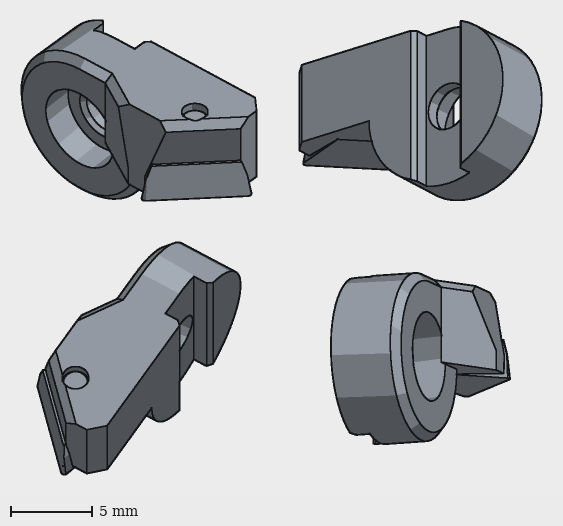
import cadquery as cq
import math

ring_diameter = 10.4
ring_radius = ring_diameter / 2
ring_length = 4.45
chamfer_size = 0.52
counterbore_radius = 2.75
counterbore_depth = 2.1
hole_radius = 1.51
countersink_radius = 1.8
countersink_depth = countersink_radius - hole_radius

slot_width = 3.34
slot_depth = 1.2
slot_bevel = 0.3

arm_end_x = 11.33
arm_corner_bevel = 0.91
arm_start_x = 2.06
arm_front_y = -6.62
arm_flank_angle = 30.0
seat_line = 13.76
nose_slope_angle = 15.0
nose_slope_bottom_z = 1.22

pin_x = 8.51
pin_y = -3.47
pin_radius = 0.8
pin_recess = 0.5
pin_bevel = 0.07

insert_bottom_z = -0.33
insert_bend_z = 1.22
insert_top_z = 2.2
insert_bottom_half_width = 3.4
insert_bend_half_width = 3.13
insert_top_half_width = 2.79
insert_bottom_front = 1.67
insert_top_front = 1.43
insert_back = 1.77
insert_end_relief = 27.5
insert_bottom_corner = 0.25
insert_upper_corner = 0.05
seat_angle = 45.0


def make_ring():
    profile = [
        (0, 0),
        (ring_radius, 0),
        (ring_radius, -ring_length + chamfer_size),
        (ring_radius - chamfer_size, -ring_length),
        (0, -ring_length),
    ]
    return cq.Workplane("XY").polyline(profile).close().revolve(360, (0, 0), (0, 1))


def arm_outline(inset, front_y):
    """Plan of the arm with its front, flank and seat edges moved inwards by inset, cut off at front_y."""
    flank = math.radians(arm_flank_angle)
    flank_end_x = arm_start_x + (-ring_length - front_y) / math.tan(flank)
    seat_shift = inset / math.sin(math.radians(seat_angle))
    return [
        (0, 0),
        (arm_end_x - arm_corner_bevel, 0),
        (arm_end_x, -arm_corner_bevel),
        (arm_end_x, arm_end_x - seat_line + seat_shift),
        (seat_line + front_y - seat_shift, front_y),
        (flank_end_x + inset / math.sin(flank), front_y),
        (arm_start_x + inset * math.tan(flank / 2), -ring_length + inset),
        (0, -ring_length + inset),
    ]


def nose_setback(z):
    """Distance of the sloping nose face behind the arm's front at height z."""
    return (z - nose_slope_bottom_z) * math.tan(math.radians(nose_slope_angle))


def make_arm():
    bevel_z = ring_radius - chamfer_size
    bevel_front_y = arm_front_y + nose_setback(bevel_z)
    block = cq.Workplane("XY").polyline(arm_outline(0, arm_front_y)).close().extrude(bevel_z)
    bevelled_top = (
        cq.Workplane("XY", origin=(0, 0, bevel_z))
        .polyline(arm_outline(0, bevel_front_y))
        .close()
        .workplane(offset=chamfer_size)
        .polyline(arm_outline(chamfer_size, bevel_front_y))
        .close()
        .loft(ruled=True)
    )
    return block.union(bevelled_top).cut(make_nose_cut())


def make_nose_cut():
    profile = [
        (arm_front_y, nose_slope_bottom_z),
        (arm_front_y + nose_setback(ring_radius), ring_radius),
        (arm_front_y, ring_radius),
    ]
    return cq.Workplane("YZ").polyline(profile).close().extrude(arm_end_x)


def make_bore():
    profile = [
        (0, -ring_length),
        (counterbore_radius, -ring_length),
        (counterbore_radius, -ring_length + counterbore_depth),
        (countersink_radius, -ring_length + counterbore_depth),
        (hole_radius, -ring_length + counterbore_depth + countersink_depth),
        (hole_radius, 0),
        (0, 0),
    ]
    return cq.Workplane("XY").polyline(profile).close().revolve(360, (0, 0), (0, 1))


def make_key_slot():
    half_width = slot_width / 2
    profile = [
        (-half_width - slot_bevel, 0),
        (-half_width, -slot_bevel),
        (-half_width, -slot_depth),
        (half_width, -slot_depth),
        (half_width, -slot_bevel),
        (half_width + slot_bevel, 0),
    ]
    return cq.Workplane("XY").polyline(profile).close().extrude(ring_radius, both=True)


def insert_front(z):
    share = (z - insert_bottom_z) / (insert_top_z - insert_bottom_z)
    return insert_bottom_front + share * (insert_top_front - insert_bottom_front)


def add_insert_outline(workplane, half_width, corner_radius, z):
    """Trapezoid with a rounded corner at each end of the cutting edge."""
    front = insert_front(z)
    side_length = front - corner_radius + insert_back
    back_half_width = half_width - side_length * math.tan(math.radians(insert_end_relief))
    corner_x = half_width - corner_radius
    corner_y = -front + corner_radius
    arc_offset = corner_radius * math.sqrt(0.5)
    return (
        workplane.moveTo(-corner_x, -front)
        .lineTo(corner_x, -front)
        .threePointArc((corner_x + arc_offset, corner_y - arc_offset), (half_width, corner_y))
        .lineTo(back_half_width, insert_back)
        .lineTo(-back_half_width, insert_back)
        .lineTo(-half_width, corner_y)
        .threePointArc((-corner_x - arc_offset, corner_y - arc_offset), (-corner_x, -front))
        .close()
    )


def make_insert_layer(low_section, high_section):
    """Each section is (half width, corner radius, height)."""
    low_z = low_section[-1]
    high_z = high_section[-1]
    layer = add_insert_outline(cq.Workplane("XY", origin=(0, 0, low_z)), *low_section)
    layer = add_insert_outline(layer.workplane(offset=high_z - low_z), *high_section)
    return layer.loft(ruled=True)


def make_insert():
    bottom = (insert_bottom_half_width, insert_bottom_corner, insert_bottom_z)
    bend = (insert_bend_half_width, insert_upper_corner, insert_bend_z)
    top = (insert_top_half_width, insert_upper_corner, insert_top_z)
    lower = make_insert_layer(bottom, bend)
    upper = make_insert_layer(bend, top)
    clearance = (
        cq.Workplane("YZ")
        .polyline([(-insert_bottom_front, insert_bottom_z), (insert_back, insert_bottom_z), (insert_back, 0)])
        .close()
        .extrude(insert_bottom_half_width, both=True)
    )
    blank = lower.union(upper).cut(clearance)
    return blank.rotate((0, 0, 0), (0, 0, 1), seat_angle).translate((pin_x, pin_y, 0))


def make_pin():
    length = ring_radius - pin_recess - insert_top_z
    pin = cq.Workplane("XY", origin=(pin_x, pin_y, insert_top_z)).circle(pin_radius).extrude(length)
    return pin.faces(">Z").chamfer(pin_bevel)


def make_pin_hole():
    hole = cq.Workplane("XY", origin=(pin_x, pin_y, insert_top_z))
    return hole.circle(pin_radius).extrude(ring_radius - insert_top_z)


insert = make_insert()
pin = make_pin()
holder = make_ring().union(make_arm()).cut(make_bore()).cut(make_key_slot())
holder = holder.cut(make_pin_hole()).cut(insert)

result = cq.Compound.makeCompound([holder.val(), insert.val(), pin.val()])